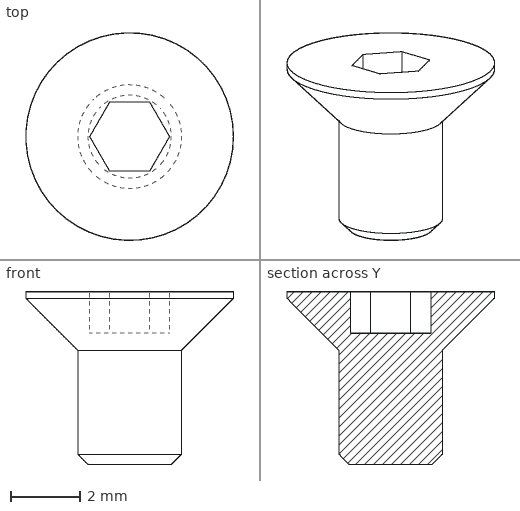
import cadquery as cq
import math

total_height = 5.0
head_diameter = 6.0
shank_diameter = 3.0
rim_height = 0.2
tip_chamfer = 0.3
socket_across_flats = 2.0
socket_depth = 1.2

head_radius = head_diameter / 2
shank_radius = shank_diameter / 2
cone_height = head_radius - shank_radius
rim_bottom = total_height - rim_height
cone_bottom = rim_bottom - cone_height


def screw_body():
    """Revolve the half profile of the tip, shank and head about Z."""
    half_profile = [
        (0, 0),
        (shank_radius - tip_chamfer, 0),
        (shank_radius, tip_chamfer),
        (shank_radius, cone_bottom),
        (head_radius, rim_bottom),
        (head_radius, total_height),
        (0, total_height),
    ]
    return cq.Workplane("XZ").polyline(half_profile).close().revolve(360, (0, 0), (0, 1))


def hex_socket():
    """Flat-bottomed hexagonal recess with two of its corners on the X axis."""
    across_corners = socket_across_flats / math.cos(math.radians(30))
    return (
        cq.Workplane("XY")
        .workplane(offset=total_height - socket_depth)
        .polygon(6, across_corners)
        .extrude(socket_depth)
    )


result = screw_body().cut(hex_socket())